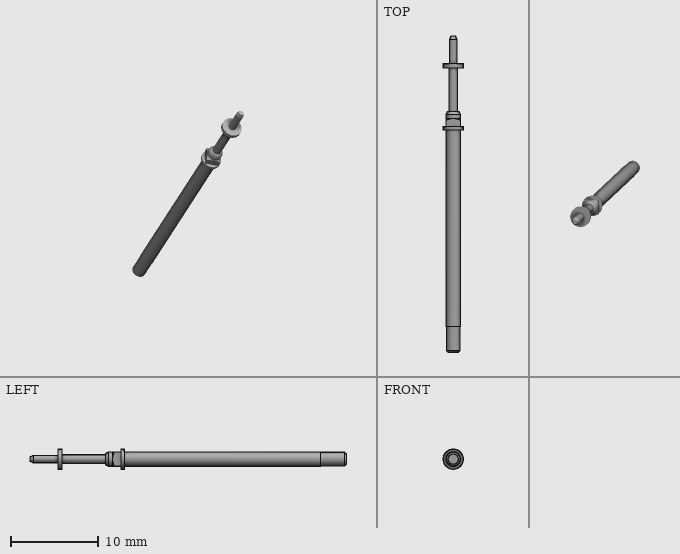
import cadquery as cq
import math

total_length = 36.2
tip_y = total_length / 2

tip_end_radius = 0.25
pin_radius = 0.45
plunger_radius = 0.5
collar_end_radius = 0.65
barrel_radius = 0.85
tail_radius = 0.8
tail_end_radius = 0.58
flange_radius = 1.15

tip_cone_length = 0.4
pin_flange_start = 3.2
pin_flange_thickness = 0.5
collar_start = 8.65
collar_cone_length = 0.33
square_start = 9.45
barrel_flange_start = 10.4
barrel_flange_thickness = 0.4

tail_length = 2.97
tail_cone_length = 0.25
square_side = 2 * barrel_radius
corner_cone_half_angle = 60.0


def turned_section(start, length, radius):
    """Cylinder on the Y axis, starting at a distance from the tip and running toward the tail."""
    plane = cq.Workplane("XZ", origin=(0, tip_y - start, 0))
    return plane.circle(radius).extrude(length)


def cone_section(start, length, start_radius, end_radius):
    """Truncated cone on the Y axis, running from the start radius to the end radius toward the tail."""
    profile = (
        cq.Workplane("XY")
        .moveTo(0, tip_y - start)
        .lineTo(start_radius, tip_y - start)
        .lineTo(end_radius, tip_y - start - length)
        .lineTo(0, tip_y - start - length)
        .close()
    )
    return profile.revolve(360, (0, 0, 0), (0, 1, 0))


def make_pin():
    """Thin pin with a conical tip, its flange, and the thicker plunger behind it."""
    cone = cone_section(0, tip_cone_length, tip_end_radius, pin_radius)
    pin = turned_section(tip_cone_length, pin_flange_start - tip_cone_length, pin_radius)
    flange = turned_section(pin_flange_start, pin_flange_thickness, flange_radius)
    plunger_start = pin_flange_start + pin_flange_thickness
    plunger = turned_section(plunger_start, collar_start - plunger_start, plunger_radius)
    return cone.union(pin).union(flange).union(plunger)


def make_square_section():
    """Square block whose leading corners are cut back by a cone."""
    length = barrel_flange_start - square_start
    front_plane = cq.Workplane("XZ", origin=(0, tip_y - square_start, 0))
    block = front_plane.rect(square_side, square_side).extrude(length)
    cone_end_radius = barrel_radius + length * math.tan(math.radians(corner_cone_half_angle))
    corner_cone = cone_section(square_start, length, barrel_radius, cone_end_radius)
    return block.intersect(corner_cone)


def make_barrel():
    """Barrel with a front collar, a square block, a flange and a slightly thinner tail with a conical end."""
    collar = cone_section(collar_start, collar_cone_length, collar_end_radius, barrel_radius)
    barrel_start = collar_start + collar_cone_length
    tail_start = total_length - tail_length
    barrel = turned_section(barrel_start, tail_start - barrel_start, barrel_radius)
    tail = turned_section(tail_start, tail_length - tail_cone_length, tail_radius)
    tail_cone_start = total_length - tail_cone_length
    tail_cone = cone_section(tail_cone_start, tail_cone_length, tail_radius, tail_end_radius)
    flange = turned_section(barrel_flange_start, barrel_flange_thickness, flange_radius)
    return collar.union(barrel).union(tail).union(tail_cone).union(make_square_section()).union(flange)


result = make_pin().union(make_barrel())